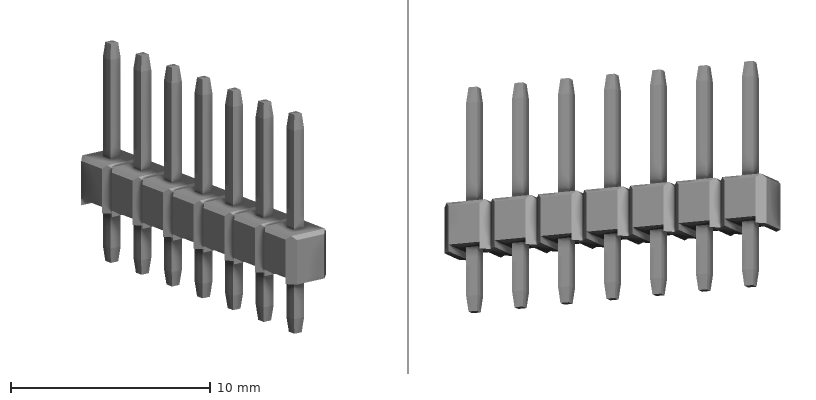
import cadquery as cq

row_length = 17.78
pin_count = 7
pitch = row_length / pin_count

block_size = pitch
corner_chamfer = 0.41
top_chamfer = corner_chamfer / 2
slot_depth = 0.34
slot_width = block_size - 2 * corner_chamfer

total_height = 11.5
pin_width = 0.64
tip_width = 0.46
tip_length = 0.8
pin_above_block = 6.01
pin_top = block_size + pin_above_block
pin_bottom = pin_top - total_height
shank_top = pin_top - tip_length
shank_bottom = pin_bottom + tip_length


def make_block():
    """Cube with bevelled corners and top rim, and a slot along Y under its base."""
    base = (True, True, False)
    cornered = cq.Workplane("XY").box(block_size, block_size, block_size, centered=base)
    cornered = cornered.edges("|Z").chamfer(corner_chamfer)
    rimmed = cq.Workplane("XY").box(block_size, block_size, block_size, centered=base)
    rimmed = rimmed.faces(">Z").edges().chamfer(top_chamfer)
    slot = cq.Workplane("XY").box(slot_width, block_size, slot_depth, centered=base)
    return cornered.intersect(rimmed).cut(slot)


def make_tip(shank_end, direction):
    """Square taper from the shank end; direction is +1 for upward and -1 for downward."""
    return (
        cq.Workplane("XY", origin=(0, 0, shank_end))
        .rect(pin_width, pin_width)
        .workplane(offset=direction * tip_length)
        .rect(tip_width, tip_width)
        .loft(ruled=True)
    )


def make_pin():
    """Straight square shank with a tapered tip at each end."""
    shank = (
        cq.Workplane("XY", origin=(0, 0, shank_bottom))
        .rect(pin_width, pin_width)
        .extrude(shank_top - shank_bottom)
    )
    return shank.union(make_tip(shank_top, 1)).union(make_tip(shank_bottom, -1))


def make_header_unit():
    """One header position: the block and its pin as a single solid."""
    return make_block().union(make_pin())


header_unit = make_header_unit()
first_x = -(pin_count - 1) * pitch / 2
header_units = []
for index in range(pin_count):
    placed_unit = header_unit.translate((first_x + index * pitch, 0, 0))
    header_units.append(placed_unit.val())

result = cq.Compound.makeCompound(header_units)